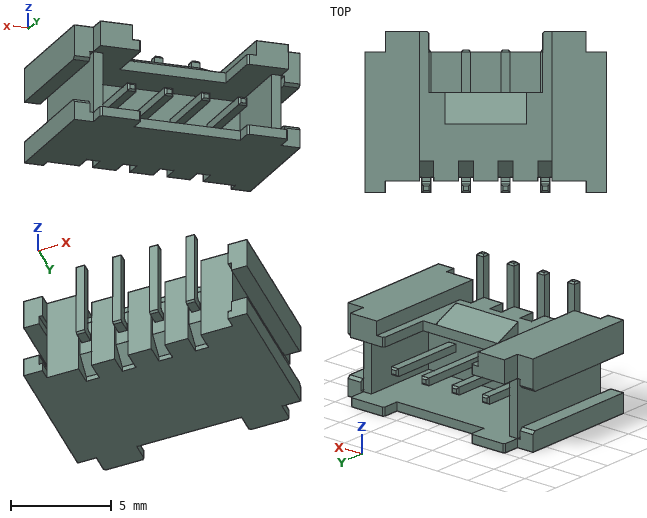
import cadquery as cq


overall_width = 12.0
body_half_width = 4.99
body_front = 0.58
body_rear = 7.0
overall_depth = 8.0
roof_top = 4.21
tower_inner_x = 3.29
tower_top = 4.98

cavity_floor = 0.49
cavity_roof = 3.68
cavity_front = 2.57
side_wall = 0.5
lip_inner_x = 2.82
roof_notch_front = 4.98
lip_corner_chamfer = 0.1

rail_lip_inner_x = 5.17
upper_rail_bottom = 3.2
lower_rail_top = 1.1
rail_chamfer = 0.15

ramp_half_width = 2.02
ramp_front = 3.4
ramp_top = 4.9

pin_count = 4
pin_pitch = 1.97
pin_width = 0.45
pin_thickness = 0.42
pin_bottom = 1.86
pin_top = 6.38
pin_rear = 7.09
pin_tip_chamfer = 0.1
pin_outer_chamfer = 0.1
pin_inner_chamfer = 0.12

slot_width = 0.73
slot_back = 1.57
nose_front = 0.75
nose_bottom = 1.1
nose_top = 3.07
nose_bevel = slot_back - nose_front

pin_positions = [(i - (pin_count - 1) / 2) * pin_pitch for i in range(pin_count)]


def box(x0, x1, y0, y1, z0, z1):
    """Box spanning the given corner coordinates."""
    return cq.Workplane("XY").box(x1 - x0, y1 - y0, z1 - z0, centered=False).translate((x0, y0, z0))


def side_profile(points, x0, x1):
    """Solid with a (Y, Z) outline that spans x0 to x1."""
    return cq.Workplane("YZ").polyline(points).close().extrude(x1 - x0).translate((x0, 0, 0))


def make_shell():
    """Housing body without rails; the cavity is cut later."""
    return box(-body_half_width, body_half_width, body_front, body_rear, 0, roof_top)


def make_tower():
    """Raised block at the +X end, with the overhangs behind the cavity mouth."""
    block = box(tower_inner_x, body_half_width, body_front, body_rear, 0, tower_top)
    overhang = box(tower_inner_x, body_half_width, body_rear, overall_depth, cavity_roof, tower_top)
    roof_lip = box(lip_inner_x, body_half_width, body_rear, overall_depth, cavity_roof, roof_top)
    floor_lip = box(lip_inner_x, body_half_width, body_rear, overall_depth, 0, cavity_floor)
    roof_lip = roof_lip.edges("|Z and >Y and <X").chamfer(lip_corner_chamfer)
    floor_lip = floor_lip.edges("|Z and >Y").chamfer(lip_corner_chamfer)
    return block.union(overhang).union(roof_lip).union(floor_lip)


def make_rails():
    """Upper and lower rails at the +X end, each stepped where it meets the body."""
    half_width = overall_width / 2
    upper = box(body_half_width, half_width, 0, body_rear, upper_rail_bottom, tower_top)
    upper = upper.edges("|X and >Y and <Z").chamfer(rail_chamfer)
    upper_step = box(body_half_width, rail_lip_inner_x, 0, body_rear, upper_rail_bottom, cavity_roof)
    lower = box(body_half_width, half_width, 0, body_rear, 0, lower_rail_top)
    lower = lower.edges("|X and >Y and >Z").chamfer(rail_chamfer)
    lower_step = box(body_half_width, rail_lip_inner_x, 0, body_rear, cavity_floor, lower_rail_top)
    return upper.cut(upper_step).union(lower.cut(lower_step))


def make_cavity():
    """Plug cavity with the notch that opens the rear of the roof."""
    half_width = body_half_width - side_wall
    cavity = box(-half_width, half_width, cavity_front, body_rear, cavity_floor, cavity_roof)
    notch = box(-lip_inner_x, lip_inner_x, roof_notch_front, body_rear, cavity_roof, roof_top)
    return cavity.union(notch)


def make_latch_ramp():
    """Wedge on the roof that falls toward the notch."""
    outline = [(ramp_front, roof_top), (ramp_front, ramp_top), (roof_notch_front, roof_top)]
    return side_profile(outline, -ramp_half_width, ramp_half_width)


def make_slot(x):
    """Front slot at a pin, narrowed in depth by a bevelled nose; it stops at the towers."""
    outline = [
        (0, 0),
        (slot_back, 0),
        (slot_back, nose_bottom - nose_bevel),
        (nose_front, nose_bottom),
        (nose_front, nose_top),
        (slot_back, nose_top + nose_bevel),
        (slot_back, roof_top),
        (0, roof_top),
    ]
    x0 = max(x - slot_width / 2, -tower_inner_x)
    x1 = min(x + slot_width / 2, tower_inner_x)
    return side_profile(outline, x0, x1)


def make_pin(x):
    """L-shaped pin with tapered tips and a bevelled bend."""
    leg_top = pin_bottom + pin_thickness
    outline = [
        (pin_outer_chamfer, pin_bottom),
        (pin_rear, pin_bottom),
        (pin_rear, leg_top),
        (pin_thickness + pin_inner_chamfer, leg_top),
        (pin_thickness, leg_top + pin_inner_chamfer),
        (pin_thickness, pin_top),
        (0, pin_top),
        (0, pin_bottom + pin_outer_chamfer),
    ]
    pin = side_profile(outline, x - pin_width / 2, x + pin_width / 2)
    return pin.faces(">Z or >Y").chamfer(pin_tip_chamfer)


end_block = make_tower().union(make_rails())
housing = make_shell().union(end_block).union(end_block.mirror("YZ"))
housing = housing.cut(make_cavity()).union(make_latch_ramp())
for pin_x in pin_positions:
    housing = housing.cut(make_slot(pin_x))

result = housing
for pin_x in pin_positions:
    result = result.union(make_pin(pin_x))